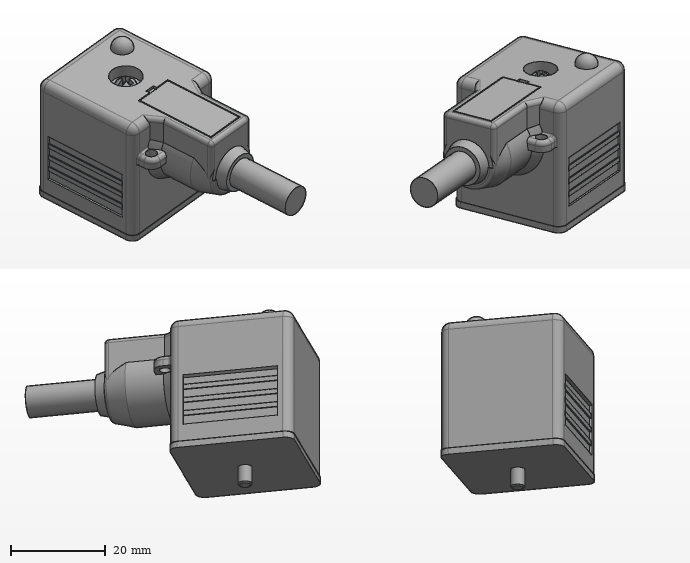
import cadquery as cq
import math

gasket_size = 27.0
gasket_height = 1.45
gasket_overhang = 0.1
corner_radius = 2.0
plug_top = 29.9
plug_center = gasket_size / 2
plug_size = gasket_size - 2 * gasket_overhang
plug_end = gasket_size - gasket_overhang

cable_axis_z = 19.9
cable_end = 60.45
cable_radius = 3.4
neck_half_width = 6.45
neck_end = 42.6
neck_fillet = 1.0
flare_start = plug_end
flare_end = 29.45
flare_half_width = 8.0
flare_slope = (flare_half_width - neck_half_width) / (flare_end - flare_start)
flare_root = 21.15
sleeve_radius = 7.6
sleeve_root_radius = sleeve_radius + flare_slope * (flare_end - flare_start)
sleeve_taper_start = 37.8
sleeve_end = 42.85
sleeve_end_radius = 6.15
sleeve_fillet = 0.9
bush_end = 45.1
bush_base_radius = 5.1
bush_end_radius = 4.4

lug_x = 28.55
lug_y = 9.4
lug_radius = 2.5
lug_hole_radius = 1.25
lug_height = 2.5
lug_fillet = 1.0
lug_root_fillet = 0.5
lug_root_x = 24.2
select_margin = 0.05

lamp_x = 6.5
lamp_y = 7.1
lamp_radius = 2.5
lamp_center_z = 29.85

screw_hole_radius = 3.6
screw_seat_depth = 3.6
screw_head_radius = 3.45
screw_flange_height = 0.95
dome_radius = 2.55
dome_height = 2.0
slot_width = 0.95
ramp_half_length = 1.95
ramp_depth = 2.3
socket_radius = 0.9
shank_radius = 1.5
shank_bottom = -4.1
shank_chamfer = 0.3
screw_seat_z = plug_top - screw_seat_depth

recess_start = 21.05
recess_end = 41.1
recess_half_width = 4.8
label_gap = 0.25
label_thickness = 0.6
notch_length = 0.9
notch_width = 2.35

grip_length = 20.5
grip_bottom = 5.3
grip_top = 16.7
grip_depth = 0.5
grip_top_slope = 0.5
rib_recess = 0.2
rib_height = 1.1
rib_pitch = 3.0
rib_count = 3
first_rib_z = 7.45


def rounded_block(size, bottom, top):
    """Square block centred on the plug, with rounded vertical corners."""
    return (
        cq.Workplane("XY", origin=(plug_center, 0, bottom))
        .rect(size, size)
        .extrude(top - bottom)
        .edges("|Z")
        .fillet(corner_radius)
    )


def cylinder_on_plug(radius, bottom, top):
    """Upright cylinder on the screw axis."""
    return cq.Workplane("XY", origin=(plug_center, 0, bottom)).circle(radius).extrude(top - bottom)


def round_about_cable(outline):
    """Solid of revolution about the cable axis from (x, radius) points."""
    return (
        cq.Workplane("XZ", origin=(0, 0, cable_axis_z))
        .polyline(outline)
        .close()
        .revolve(360, (0, 0), (1, 0))
    )


def neck():
    """Flat-topped neck that narrows from the plug towards the cable."""
    root_half_width = flare_half_width + flare_slope * (flare_start - flare_root)
    outline = [
        (flare_root, -root_half_width),
        (flare_end, -neck_half_width),
        (neck_end, -neck_half_width),
        (neck_end, neck_half_width),
        (flare_end, neck_half_width),
        (flare_root, root_half_width),
    ]
    body = (
        cq.Workplane("XY", origin=(0, 0, cable_axis_z))
        .polyline(outline)
        .close()
        .extrude(plug_top - cable_axis_z)
    )
    body = body.edges("|Z and >X").fillet(neck_fillet)
    return body.faces(">Z").edges("not <X").fillet(neck_fillet)


def sleeve():
    """Round sleeve under the neck, flared at the plug and tapered at the cable."""
    outline = [
        (flare_start, 0),
        (flare_start, sleeve_root_radius),
        (flare_end, sleeve_radius),
        (sleeve_taper_start, sleeve_radius),
        (sleeve_end, sleeve_end_radius),
        (sleeve_end, 0),
    ]
    body = round_about_cable(outline).faces(">X").edges().fillet(sleeve_fillet)
    upper_end = cq.Workplane("XY", origin=(neck_end, 0, cable_axis_z)).box(
        sleeve_end - neck_end, 2 * sleeve_radius, sleeve_radius, centered=(False, True, False)
    )
    return body.cut(upper_end)


def cable_and_bush():
    """Tapered bush with the cable leaving it."""
    outline = [
        (flare_end, 0),
        (flare_end, bush_base_radius),
        (neck_end, bush_base_radius),
        (bush_end, bush_end_radius),
        (bush_end, cable_radius),
        (cable_end, cable_radius),
        (cable_end, 0),
    ]
    return round_about_cable(outline)


def lug(side):
    """Rounded ear on one side (+1 or -1) of the neck, without its hole."""
    outer_y = lug_y + lug_radius
    arc_offset = lug_radius * math.sqrt(0.5)
    body = (
        cq.Workplane("XY", origin=(0, 0, cable_axis_z))
        .moveTo(lug_root_x, 0)
        .lineTo(lug_root_x, side * outer_y)
        .lineTo(lug_x, side * outer_y)
        .threePointArc(
            (lug_x + arc_offset, side * (lug_y + arc_offset)),
            (lug_x + lug_radius, side * lug_y),
        )
        .lineTo(lug_x + lug_radius, 0)
        .close()
        .extrude(lug_height)
    )
    buried_edges = "<X or <Y" if side > 0 else "<X or >Y"
    outer_rim = body.faces(">Z").edges(f"not ({buried_edges})")
    return outer_rim.fillet(lug_fillet)


def lug_root_edges(side):
    """Selector for the edges where a lug meets the end wall and corner of the plug."""
    inner_y = side * flare_half_width
    outer_y = side * (lug_y + lug_radius + select_margin)
    return cq.selectors.BoxSelector(
        (plug_end - corner_radius / 2, inner_y, cable_axis_z + select_margin),
        (plug_end + select_margin, outer_y, cable_axis_z + lug_height + select_margin),
    )


def lug_hole(side):
    return (
        cq.Workplane("XY", origin=(lug_x, side * lug_y, cable_axis_z))
        .circle(lug_hole_radius)
        .extrude(lug_height)
    )


def grip_cutter():
    """Recess of the grip panel on the -Y side, leaving the ribs standing."""
    face_y = -plug_size / 2
    floor_y = face_y + grip_depth
    rib_y = face_y + rib_recess
    outline = [(face_y, grip_bottom), (floor_y, grip_bottom)]
    for i in range(rib_count):
        rib_z = first_rib_z + i * rib_pitch
        outline += [
            (floor_y, rib_z),
            (rib_y, rib_z),
            (rib_y, rib_z + rib_height),
            (floor_y, rib_z + rib_height),
        ]
    outline += [(floor_y, grip_top - grip_top_slope), (face_y, grip_top)]
    return (
        cq.Workplane("YZ", origin=(plug_center - grip_length / 2, 0, 0))
        .polyline(outline)
        .close()
        .extrude(grip_length)
    )


def label_recess():
    """Recess for the label plate, with the pry notch at its -X end."""
    floor_z = plug_top - label_thickness
    start = cq.Workplane("XY", origin=(recess_start, 0, floor_z))
    length = recess_end - recess_start
    pocket = start.box(length, 2 * recess_half_width, label_thickness, centered=(False, True, False))
    notch = start.box(2 * notch_length, notch_width, label_thickness, centered=(True, True, False))
    return pocket.union(notch)


def make_housing():
    plug = rounded_block(plug_size, gasket_height, plug_top)
    plug = plug.faces(">Z").edges().fillet(corner_radius)
    body = plug.union(neck()).union(sleeve()).union(cable_and_bush())
    for side in (1, -1):
        body = body.union(lug(side))
    body = body.edges(lug_root_edges(1) + lug_root_edges(-1)).fillet(lug_root_fillet)
    for side in (1, -1):
        body = body.cut(lug_hole(side))

    lamp = cq.Workplane("XY", origin=(lamp_x, lamp_y, lamp_center_z)).sphere(lamp_radius)
    body = body.union(lamp)

    body = body.cut(cylinder_on_plug(screw_hole_radius, screw_seat_z, plug_top))
    body = body.cut(cylinder_on_plug(shank_radius, gasket_height, screw_seat_z))
    body = body.cut(label_recess())
    cutter = grip_cutter()
    return body.cut(cutter).cut(cutter.mirror("XZ"))


def make_gasket():
    plate = rounded_block(gasket_size, 0, gasket_height)
    return plate.cut(cylinder_on_plug(shank_radius, 0, gasket_height))


def make_label():
    length = recess_end - recess_start - 2 * label_gap
    width = 2 * (recess_half_width - label_gap)
    start = cq.Workplane("XY", origin=(recess_start + label_gap, 0, plug_top - label_thickness))
    return start.box(length, width, label_thickness, centered=(False, True, False))


def make_screw():
    """Screw with a domed, cross-slotted head and a long shank."""
    flange_z = screw_seat_z + screw_flange_height
    dome_top = flange_z + dome_height
    sphere_radius = (dome_radius**2 + dome_height**2) / (2 * dome_height)
    shank = cylinder_on_plug(shank_radius, shank_bottom, screw_seat_z).faces("<Z").chamfer(shank_chamfer)
    flange = cylinder_on_plug(screw_head_radius, screw_seat_z, flange_z)
    dome = (
        cq.Workplane("XY", origin=(plug_center, 0, dome_top - sphere_radius))
        .sphere(sphere_radius)
        .intersect(cylinder_on_plug(dome_radius, flange_z, dome_top))
    )
    slot = cq.Workplane("XY", origin=(plug_center, 0, flange_z)).box(
        slot_width, 2 * dome_radius, dome_height, centered=(True, True, False)
    )
    ramp = (
        cq.Workplane("XZ", origin=(plug_center, slot_width / 2, dome_top))
        .moveTo(-ramp_half_length, 0)
        .lineTo(ramp_half_length, 0)
        .lineTo(socket_radius, -ramp_depth)
        .lineTo(-socket_radius, -ramp_depth)
        .close()
        .extrude(slot_width)
    )
    socket = cq.Workplane(
        cq.Solid.makeCone(0, socket_radius, socket_radius, cq.Vector(plug_center, 0, flange_z - socket_radius))
    )
    return shank.union(flange).union(dome.cut(slot).cut(ramp)).cut(socket)


housing = make_housing()
gasket = make_gasket()
label = make_label()
screw = make_screw()
result = cq.Compound.makeCompound([housing.val(), gasket.val(), label.val(), screw.val()])